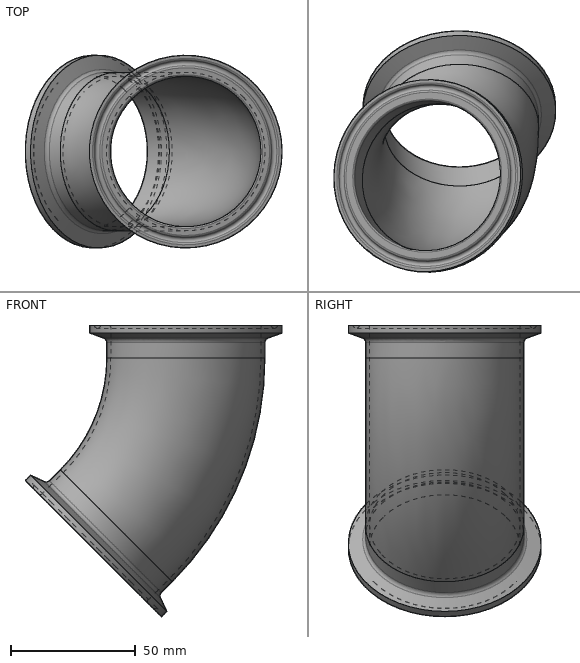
import cadquery as cq
import math

overall_height = 116.7
bend_angle = 45.0

tube_radius = 31.8
bore_radius = 30.1

ferrule_length = 13.0
flange_radius = 38.6
rim_thickness = 3.0
cone_angle = 20.0
neck_fillet = 1.8
bore_edge_fillet = 0.7

groove_mid_radius = 35.5
groove_section_radius = 1.2
groove_lip_radius = 0.9

arc_center_spacing = groove_section_radius + groove_lip_radius
groove_half_width = math.sqrt(arc_center_spacing**2 - groove_lip_radius**2)
arc_fraction = groove_section_radius / arc_center_spacing
arc_end_offset = groove_half_width * arc_fraction
arc_end_depth = groove_lip_radius * arc_fraction

bend_sin = math.sin(math.radians(bend_angle))
bend_cos = math.cos(math.radians(bend_angle))
lower_face_depth = overall_height - flange_radius * bend_sin
bend_radius = (lower_face_depth - ferrule_length * (1 + bend_cos)) / bend_sin


def make_elbow():
    """Tube bent toward -X about an axis parallel to Y, starting below the top ferrule."""
    return (
        cq.Workplane("XY", origin=(0, 0, -ferrule_length))
        .circle(tube_radius)
        .circle(bore_radius)
        .revolve(bend_angle, (-bend_radius, 0), (-bend_radius, 1))
    )


def ring_edges(body, radius, z):
    """Select the circular edges of a given radius lying at height z."""
    return body.edges("%CIRCLE").filter(
        lambda edge: abs(edge.radius() - radius) < 0.01 and abs(edge.Center().z - z) < 0.01
    )


def make_ferrule():
    """Ferrule along Z with its sealing face at z = 0 and its neck pointing down."""
    cone_drop = (flange_radius - tube_radius) * math.tan(math.radians(cone_angle))
    neck_top = -rim_thickness - cone_drop
    body = (
        cq.Workplane("XZ")
        .moveTo(bore_radius, 0)
        .lineTo(groove_mid_radius - groove_half_width, 0)
        .tangentArcPoint((groove_mid_radius - arc_end_offset, -arc_end_depth), relative=False)
        .tangentArcPoint((groove_mid_radius + arc_end_offset, -arc_end_depth), relative=False)
        .tangentArcPoint((groove_mid_radius + groove_half_width, 0), relative=False)
        .lineTo(flange_radius, 0)
        .lineTo(flange_radius, -rim_thickness)
        .lineTo(tube_radius, neck_top)
        .lineTo(tube_radius, -ferrule_length)
        .lineTo(bore_radius, -ferrule_length)
        .close()
        .revolve(360, (0, 0), (0, 1))
    )
    body = ring_edges(body, tube_radius, neck_top).fillet(neck_fillet)
    return ring_edges(body, bore_radius, 0).fillet(bore_edge_fillet)


def place_at_lower_end(ferrule):
    """Mirror a top ferrule to face down, then swing it around the bend."""
    pivot = (-bend_radius, 0, -ferrule_length)
    pivot_end = (-bend_radius, 1, -ferrule_length)
    facing_down = ferrule.mirror("XY", (0, 0, -ferrule_length))
    return facing_down.rotate(pivot, pivot_end, bend_angle)


elbow = make_elbow()
ferrules = [make_ferrule(), place_at_lower_end(make_ferrule())]

result = cq.Compound.makeCompound([elbow.val(), *[ferrule.val() for ferrule in ferrules]])